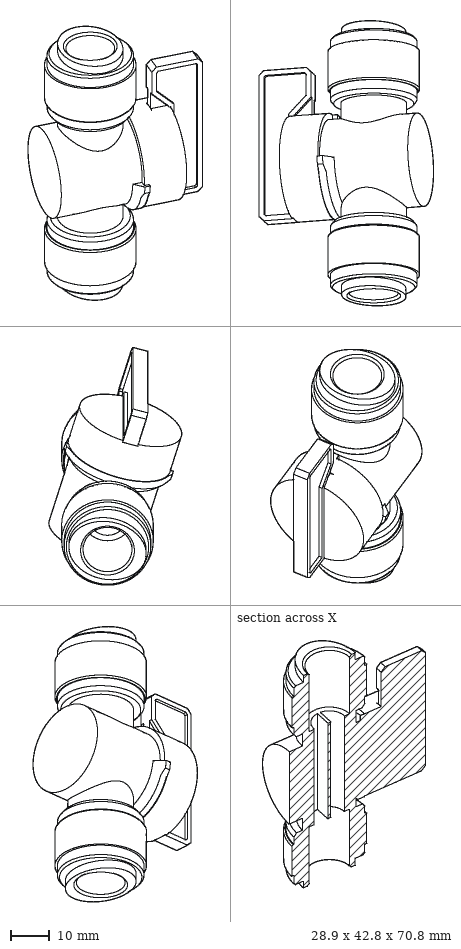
import cadquery as cq
import math

barrel_radius = 12.1
barrel_front = -12.6
pipe_radius = 8.5

cap_radius = 13.7
cap_front = 11.05
cap_back = 21.4
stop_depth = 1.35

flange_radius = 13.95
flange_top = -1.0
tab_radius = 14.5
tab_bottom = -3.1
flank_bottom = -5.0
cone_apex = -4.95

port_end = 35.4
port_base = 15.9
port_radius = 11.2
base_chamfer_width = 0.85
base_chamfer_height = 1.05
grip_radius = 11.8
grip_start = 19.75
grip_end = 29.8
grip_edge = 0.4
shoulder_end = 33.1
shoulder_chamfer = 0.6
collet_half_x = 10.1
collet_half_y = 8.15

tube_radius = 6.3
tube_mouth_chamfer = 0.65
flow_radius = 4.75
web_thickness = 0.9

handle_thickness = 4.05
handle_back = 30.2
handle_neck_front = 20.95
handle_head_front = 16.2
handle_top = 26.4
handle_bottom = -13.7
slope_top = 18.4
handle_chamfer = 1.3
rim_width = 1.35
core_thickness = 2.2
gusset_bottom = 13.6


def cylinder_y(radius, y_start, y_end):
    return cq.Workplane("XZ", origin=(0, y_start, 0)).circle(radius).extrude(y_start - y_end)


def cylinder_z(radius, z_start, z_end):
    return cq.Workplane("XY", origin=(0, 0, z_start)).circle(radius).extrude(z_end - z_start)


def plate_x(outline, thickness):
    """Plate centred on X = 0 from an outline of (Y, Z) points."""
    return cq.Workplane("YZ").polyline(outline).close().extrude(thickness / 2, both=True)


def half_chord(radius, distance):
    """Half the width of a circle at a distance from its centre."""
    return math.sqrt(radius**2 - distance**2)


def make_cap():
    cap = cylinder_y(cap_radius, cap_front, cap_back)
    quarter_block = (
        cq.Workplane("XY", origin=(0, cap_front - stop_depth, flange_top))
        .box(cap_radius, stop_depth, cap_radius - flange_top, centered=False)
    )
    stop_quarter = cylinder_y(cap_radius, cap_front - stop_depth, cap_front).intersect(quarter_block)
    return cap.union(stop_quarter)


def make_flange():
    tab_middle = (flange_top + tab_bottom) / 2
    tab_top_x = half_chord(tab_radius, flange_top)
    tab_middle_x = half_chord(tab_radius, tab_middle)
    tab_bottom_x = half_chord(tab_radius, tab_bottom)
    flank_x = half_chord(flange_radius, flank_bottom)
    prism = (
        cq.Workplane("XZ", origin=(0, cap_front, 0))
        .moveTo(-tab_top_x, flange_top)
        .lineTo(tab_top_x, flange_top)
        .threePointArc((tab_middle_x, tab_middle), (tab_bottom_x, tab_bottom))
        .lineTo(flank_x, flank_bottom)
        .threePointArc((0, -flange_radius), (-flank_x, flank_bottom))
        .lineTo(-tab_bottom_x, tab_bottom)
        .threePointArc((-tab_middle_x, tab_middle), (-tab_top_x, flange_top))
        .close()
        .extrude(cap_front - cone_apex)
    )
    cone_radius = cap_front - cone_apex
    cone = (
        cq.Workplane("XY")
        .polyline([(0, cone_apex), (cone_radius, cap_front), (0, cap_front)])
        .close()
        .revolve(360, (0, 0, 0), (0, 1, 0))
    )
    return prism.intersect(cone)


def make_port():
    """Upper port with its oval collet."""
    profile = [
        (0, port_base),
        (port_radius - base_chamfer_width, port_base),
        (port_radius, port_base + base_chamfer_height),
        (port_radius, grip_start - grip_edge),
        (grip_radius - grip_edge, grip_start - grip_edge),
        (grip_radius, grip_start),
        (grip_radius, grip_end),
        (port_radius, grip_end),
        (port_radius, shoulder_end - shoulder_chamfer),
        (port_radius - shoulder_chamfer, shoulder_end),
        (0, shoulder_end),
    ]
    port = cq.Workplane("XZ").polyline(profile).close().revolve(360, (0, 0, 0), (0, 1, 0))
    collet = (
        cq.Workplane("XY", origin=(0, 0, shoulder_end))
        .ellipse(collet_half_x, collet_half_y)
        .extrude(port_end - shoulder_end)
    )
    return port.union(collet)


def make_tube_socket():
    """Wide bore of the upper port, widened at its mouth."""
    mouth_radius = tube_radius + tube_mouth_chamfer
    profile = [
        (0, port_base),
        (tube_radius, port_base),
        (tube_radius, port_end - tube_mouth_chamfer),
        (mouth_radius, port_end),
        (0, port_end),
    ]
    return cq.Workplane("XZ").polyline(profile).close().revolve(360, (0, 0, 0), (0, 1, 0))


def make_flow_bore():
    bore = cylinder_z(flow_radius, -port_base, port_base)
    web = cq.Workplane("XY").box(2 * flow_radius, web_thickness, 2 * port_base)
    return bore.cut(web)


def make_handle():
    panel_depth = (handle_thickness - core_thickness) / 2
    slope_bottom = slope_top - (handle_neck_front - handle_head_front)
    outline = [
        (handle_neck_front, handle_bottom),
        (handle_neck_front, slope_bottom),
        (handle_head_front, slope_top),
        (handle_head_front, handle_top - handle_chamfer),
        (handle_head_front + handle_chamfer, handle_top),
        (handle_back - handle_chamfer, handle_top),
        (handle_back, handle_top - handle_chamfer),
        (handle_back, handle_bottom + handle_chamfer),
        (handle_back - handle_chamfer, handle_bottom),
    ]
    handle = plate_x(outline, handle_thickness)
    panel = (
        cq.Workplane("YZ", origin=(core_thickness / 2, 0, 0))
        .polyline(outline)
        .close()
        .offset2D(-rim_width, "intersection")
        .extrude(panel_depth)
    )
    return handle.cut(panel).cut(panel.mirror("YZ"))


def gusset_outline():
    """Triangle between the cap, the sloped edge and the front of the handle head."""
    slope_run = slope_top - gusset_bottom
    return [
        (handle_head_front, gusset_bottom),
        (handle_head_front, slope_top),
        (handle_head_front + slope_run, gusset_bottom),
    ]


upper_port = make_port()
upper_socket = make_tube_socket()

crest_relief = plate_x(gusset_outline(), handle_thickness)
gusset = plate_x(gusset_outline(), core_thickness)

result = (
    cylinder_y(barrel_radius, barrel_front, cap_back)
    .union(make_cap().cut(crest_relief))
    .union(make_flange())
    .union(cylinder_z(pipe_radius, -port_base, port_base))
    .union(upper_port)
    .union(upper_port.mirror("XY"))
    .union(make_handle())
    .union(gusset)
    .cut(make_flow_bore())
    .cut(upper_socket)
    .cut(upper_socket.mirror("XY"))
)